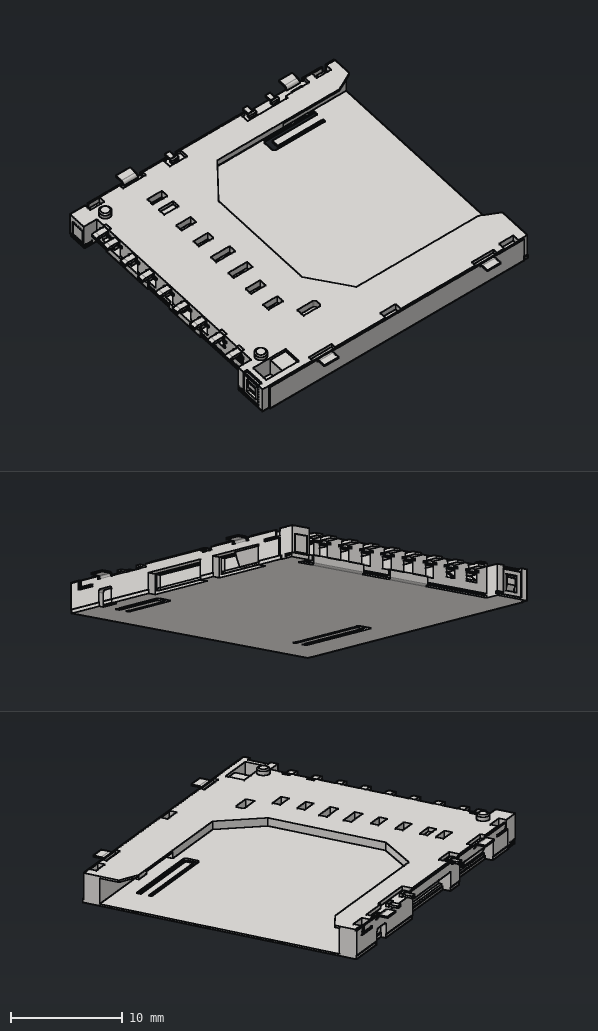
import cadquery as cq
import math


body_half_width = 13.85
shell_skin = 0.15
shell_half_width = body_half_width + shell_skin
length = 30.5
front_wall_y = 1.5
lid_top = 2.9
lid_thickness = 0.2
lid_bottom = lid_top - lid_thickness
floor_thickness = 0.2
joint_overlap = 0.1

plate_height = 0.35
plate_inset = 0.05
skin_top = lid_top - 0.1
left_skin_front_y = 1.7
right_skin_front_y = 0.75
right_skin_back_y = 30.0

left_corner_x = -11.85
right_corner_x = 10.35
corner_bottom = 0.4
foot_front_y = 0.1
groove_depth = 0.2

cavity_half_width = 12.2
cavity_front_y = 4.9
contact_roof_z = 2.1
contact_roof_back_y = 22.1
entry_rib_y = (27.1, 28.55)
entry_rib_bottom = 2.45

opening_center_x = -0.75
opening_half_width = 10.0
opening_mouth_half_width = 11.0
opening_tip_half_width = 6.0
opening_mouth_y = 28.55
opening_shoulder_y = 14.5
opening_tip_y = 11.45

spring_root_y = 26.66
right_spring_tip_y = 17.5
left_spring_tip_y = 20.75
spring_inner_gap = 0.3
spring_outer_gap = 0.45
spring_tip_gap = 0.7
spring_width = 0.8
spring_corner_radius = 0.3

contact_pitch = 2.5
first_contact_x = -8.9
outer_contact_x = -10.53
contact_xs = [outer_contact_x] + [first_contact_x + i * contact_pitch for i in range(8)]
contact_tip_y = 0.12
contact_width = 0.68
contact_bottom = 2.4
contact_top = 2.72
collar_width = 1.44
collar_front_y = 1.35
collar_bottom = 2.15
collar_top = 2.3
neck_width = 0.6

front_opening_widths = (0.9, 0.9, 0.9, 1.0, 1.0, 1.1, 0.9, 0.95, 1.2)
front_opening_top = 2.0
deep_opening_bottom = 0.9
shallow_opening_bottom = 1.25
shallow_opening_indices = (7, 8)
blind_opening_index = 8
blind_opening_y = 2.5

latch_z = 2.2
ledge_z = 2.5
latch_inner_x = 13.1
contact_inner_x = 12.83
tab_inner_x = 13.35
side_contact_ys = (23.26, 20.65, 11.7)

tab_tip_x = 15.0
tab_bend_radius = 0.37
back_tab_y = (24.97, 26.5)
front_tab_y = (6.2, 7.85)

back_window_y = (12.6, 19.8)
front_window_y = (4.55, 10.87)
window_top = 1.9
window_ledge_z = 0.55
window_outer_depth_x = -13.2
window_inner_depth_x = -12.8

peg_radius = 0.6
peg_chamfer = 0.15
peg_top = 3.45
peg_y = 2.5
peg_xs = (-11.89, 10.5)

button_x = (11.1, 13.2)
button_front_y = 0.1
button_back_y = 0.45
button_top = 2.65
button_recess_x = (11.5, 12.75)
button_recess_z = (0.6, 2.15)
lug_x = (11.65, 12.6)


def box(x0, x1, y0, y1, z0, z1):
    """Axis-aligned block between the given limits."""
    return cq.Workplane("XY").box(x1 - x0, y1 - y0, z1 - z0, centered=False).translate((x0, y0, z0))


def centered_box(x, width, y0, y1, z0, z1):
    """Block of the given width centred on x."""
    return box(x - width / 2, x + width / 2, y0, y1, z0, z1)


def side_prism(profile, y0, y1):
    """Closed (x, z) profile extended from y0 to y1."""
    return cq.Workplane("XZ").polyline(profile).close().extrude(y0 - y1).translate((0, y0, 0))


def front_prism(profile, x0, x1):
    """Closed (y, z) profile extended from x0 to x1."""
    return cq.Workplane("YZ").polyline(profile).close().extrude(x1 - x0).translate((x0, 0, 0))


def join(shapes):
    """Union of a list of shapes."""
    joined = shapes[0]
    for shape in shapes[1:]:
        joined = joined.union(shape)
    return joined




def make_body():
    """Hollow housing with a thin floor, open at the card end, with a thicker roof over the contacts."""
    plate_half_width = shell_half_width - plate_inset
    body = box(-body_half_width, body_half_width, front_wall_y, length, floor_thickness, lid_top)
    body = body.union(box(-plate_half_width, plate_half_width, front_wall_y, length, 0, plate_height))
    cavity_x = (-cavity_half_width, cavity_half_width)
    contact_room = box(*cavity_x, cavity_front_y, length, floor_thickness, contact_roof_z)
    entry_room = box(*cavity_x, contact_roof_back_y, length, floor_thickness, lid_bottom)
    entry_rib = box(opening_center_x + opening_half_width, cavity_half_width, *entry_rib_y,
                    entry_rib_bottom, lid_bottom)
    return body.cut(contact_room).cut(entry_room).union(entry_rib)


def make_front_corners():
    """Corner blocks standing forward of the contact wall; the left one has a shallow panel and a foot."""
    panel_x = (-13.5, -12.1)
    panel_z = (0.5, 2.15)
    panel_depth = 0.1
    foot_gap_y = (0.3, 1.0)
    left = box(-body_half_width, left_corner_x, 0, front_wall_y, corner_bottom, lid_top)
    panel = box(*panel_x, 0, panel_depth, *panel_z)
    foot = box(-body_half_width, left_corner_x, foot_front_y, front_wall_y, 0, corner_bottom)
    foot_gap = box(-body_half_width, left_corner_x, *foot_gap_y, floor_thickness, corner_bottom)
    right = box(right_corner_x, body_half_width, 0, front_wall_y, 0, lid_top)
    groove = box(right_corner_x, button_x[0], 0, groove_depth, floor_thickness, corner_bottom)
    return join([left.cut(panel), foot.cut(foot_gap), right.cut(groove)])


def front_groove():
    """Cutter for the groove between the floor plate and the front wall."""
    return box(left_corner_x, right_corner_x, front_wall_y, front_wall_y + groove_depth,
               floor_thickness, corner_bottom)


def make_front_flaps():
    """Floor plate flaps folded up against the front wall."""
    flap_top = 0.9
    flap_front_y = 1.3
    flap_back_y = 1.8
    bend_radius = 0.19
    flap_xs = ((-10.25, -4.3), (-1.2, 3.25))
    flaps = []
    for x0, x1 in flap_xs:
        flap = box(x0, x1, flap_front_y, front_wall_y, 0, flap_top)
        flap = flap.edges("<Y and <Z").fillet(bend_radius)
        backing = box(x0, x1, front_wall_y, flap_back_y, 0, corner_bottom)
        flaps.append(flap.union(backing))
    return join(flaps)


def lid_opening():
    """Cutter for the card-shaped opening in the lid."""
    outline = [
        (opening_mouth_half_width, length),
        (opening_half_width, opening_mouth_y),
        (opening_half_width, opening_shoulder_y),
        (opening_tip_half_width, opening_tip_y),
    ]
    right = [(opening_center_x + x, y) for x, y in outline]
    left = [(opening_center_x - x, y) for x, y in reversed(outline)]
    opening = cq.Workplane("XY").workplane(offset=contact_roof_z).polyline(right + left).close()
    return opening.extrude(lid_top - contact_roof_z)


def floor_spring_slot(side, tip_y):
    """U-shaped slot through the floor that frees a spring finger; side is +1 or -1."""
    inner = opening_half_width - spring_inner_gap
    finger_inner = inner + spring_inner_gap
    finger_outer = finger_inner + spring_width
    outer = finger_outer + spring_outer_gap
    slot = box(inner, outer, tip_y, spring_root_y, 0, floor_thickness)
    slot = slot.edges("|Z and <Y").fillet(spring_corner_radius)
    finger = box(finger_inner, finger_outer, tip_y + spring_tip_gap, spring_root_y, 0, floor_thickness)
    slot = slot.cut(finger)
    if side < 0:
        slot = slot.mirror("YZ")
    return slot.translate((opening_center_x, 0, 0))




def contact_windows():
    """Slots in the lid above the contacts; the last one sits further back with rounded corners."""
    window_width = 0.8
    window_y0 = 6.58
    window_y1 = 8.25
    long_window_y1 = 8.75
    long_indices = (4, 5)
    shallow_index = 1
    last_width = 0.9
    last_y = (8.57, 10.6)
    last_radius = 0.25
    windows = []
    for i, x in enumerate(contact_xs[:-1]):
        y1 = long_window_y1 if i in long_indices else window_y1
        bottom = ledge_z if i == shallow_index else contact_roof_z
        windows.append(centered_box(x, window_width, window_y0, y1, bottom, lid_top))
    last = centered_box(contact_xs[-1], last_width, *last_y, contact_roof_z, lid_top)
    windows.append(last.edges("|Z and >Y").fillet(last_radius))
    return join(windows)


def front_openings():
    """Openings in the front wall below the contacts; the last one is blind."""
    openings = []
    for i, (x, width) in enumerate(zip(contact_xs, front_opening_widths)):
        bottom = shallow_opening_bottom if i in shallow_opening_indices else deep_opening_bottom
        back_y = blind_opening_y if i == blind_opening_index else cavity_front_y
        openings.append(centered_box(x, width, front_wall_y, back_y, bottom, front_opening_top))
    return join(openings)


def make_opening_ramps():
    """Sloped floors in the two shallow openings; the first fills only the +X part of its opening."""
    ramp_front_y = 1.6
    ramp_crest_y = 2.3
    ramp_front_z = 1.45
    ramp_crest_z = 1.95
    ramp_base_z = shallow_opening_bottom - joint_overlap
    profile = [
        (ramp_front_y, ramp_base_z),
        (ramp_front_y, ramp_front_z),
        (ramp_crest_y, ramp_crest_z),
        (blind_opening_y, ramp_crest_z),
        (blind_opening_y, ramp_base_z),
    ]
    partial_start = 0.12
    ramps = []
    for i in shallow_opening_indices:
        x = contact_xs[i]
        half = front_opening_widths[i] / 2
        start = -half if i == blind_opening_index else partial_start
        ramps.append(front_prism(profile, x + start, x + half))
    return join(ramps)


def contact_notches():
    """Notches in the front wall above the outermost contacts."""
    notch_clearance = 0.04
    notch_width = contact_width + notch_clearance
    notch_back_y = 1.8
    notch_top = 2.85
    notched = (0, 7, 8)
    notches = [
        centered_box(contact_xs[i], notch_width, front_wall_y, notch_back_y, collar_top, notch_top)
        for i in notched
    ]
    return join(notches)


def make_contacts():
    """Solder tails with beveled tips, necks and collars along the front wall."""
    root_y = 1.9
    tip_bevel = (0.1, 0.4)
    contacts = []
    for x in contact_xs:
        tail = centered_box(x, contact_width, contact_tip_y, root_y, contact_bottom, contact_top)
        contacts.append(tail.edges(">Z and <Y").chamfer(*tip_bevel))
        contacts.append(centered_box(x, neck_width, collar_front_y, root_y, collar_top, contact_bottom))
        contacts.append(centered_box(x, collar_width, collar_front_y, root_y, collar_bottom, collar_top))
    return join(contacts)




def edge_pockets():
    """Shallow pockets along the long edges of the lid: (side, inner x, y limits, floor height)."""
    pockets = [
        (-1, latch_inner_x, (27.83, 29.47), latch_z),
        (-1, latch_inner_x, (1.76, 3.38), latch_z),
        (1, latch_inner_x, (27.83, 29.47), latch_z),
        (1, latch_inner_x, (14.16, 15.93), latch_z),
        (-1, latch_inner_x, (24.25, 26.98), ledge_z),
        (-1, contact_inner_x, (19.65, 24.25), ledge_z),
        (-1, contact_inner_x, (10.7, 12.7), ledge_z),
        (-1, tab_inner_x, (5.74, 8.35), ledge_z),
        (1, tab_inner_x, (24.5, 26.98), ledge_z),
        (1, tab_inner_x, (5.74, 8.35), ledge_z),
    ]
    cutters = []
    for side, inner_x, y_limits, floor_z in pockets:
        x0, x1 = sorted((side * inner_x, side * body_half_width))
        cutters.append(box(x0, x1, *y_limits, floor_z, lid_top))
    tab_slot_x = (-13.5, -13.25)
    tab_slot_y = (25.2, 26.4)
    tab_slot = box(*tab_slot_x, *tab_slot_y, latch_z, ledge_z)
    return join(cutters + [tab_slot])


def left_skin_block(y0, y1, z0, z1):
    """Block filling the thickness of the left skin."""
    return box(-shell_half_width, -body_half_width, y0, y1, z0, z1)


def make_shell_sides():
    """Metal skins on the long sides; the left one has top notches and two L-shaped latch slots."""
    left = left_skin_block(left_skin_front_y, length, plate_height, skin_top)
    right = box(body_half_width, shell_half_width, right_skin_front_y, right_skin_back_y, 0, skin_top)
    slot_bottom = 2.0
    notch_ys = ((24.7, 26.8), (20.15, 24.9), (11.1, 12.25), (5.95, 8.15))
    slot_upright_ys = ((29.1, 29.5), (left_skin_front_y, 2.15))
    slot_foot_ys = ((27.6, 29.5), (left_skin_front_y, 3.7))
    for y0, y1 in notch_ys:
        left = left.cut(left_skin_block(y0, y1, ledge_z, lid_top))
    for y0, y1 in slot_upright_ys:
        left = left.cut(left_skin_block(y0, y1, slot_bottom, lid_top))
    for y0, y1 in slot_foot_ys:
        left = left.cut(left_skin_block(y0, y1, slot_bottom, latch_z))
    return left.union(right)


def side_window(y0, y1):
    """Cutter for a window low in the left wall, stepped inward to leave two sills."""
    jamb = 0.25
    head = 0.1
    lower_sill_z = 0.3
    sill_width = 0.1
    sill_x = window_outer_depth_x + sill_width
    outer = box(-shell_half_width, window_outer_depth_x, y0, y1, 0, window_top)
    sill = box(window_outer_depth_x, sill_x, y0, y1 - jamb, lower_sill_z, window_ledge_z)
    inner = box(window_outer_depth_x, window_inner_depth_x, y0, y1 - jamb,
                window_ledge_z, window_top - head)
    return join([outer, sill, inner])


def make_slider_ramp():
    """Overhanging slanted face inside the front part of the front window."""
    ramp_back_y = 8.4
    back_x = window_inner_depth_x + joint_overlap
    foot_x = window_inner_depth_x - 0.1
    head_x = -13.5
    profile = [
        (back_x, window_ledge_z),
        (foot_x, window_ledge_z),
        (head_x, window_top),
        (back_x, window_top),
    ]
    return side_prism(profile, front_window_y[0], ramp_back_y)


def clip_recess():
    """Cutter for the clip recess at the bottom of the left wall, with a sill left inside."""
    recess_depth_x = -13.45
    recess_y = (24.9, 26.65)
    recess_top = 1.55
    corner_radius = 0.25
    sill_front_x = -13.6
    sill_y = (25.05, 26.5)
    sill_z = (0.15, 0.5)
    recess = box(-shell_half_width, recess_depth_x, *recess_y, 0, recess_top)
    recess = recess.edges("|X and >Z").fillet(corner_radius)
    sill = box(sill_front_x, recess_depth_x, *sill_y, *sill_z)
    return recess.cut(sill)


def make_solder_tab(side, y0, y1):
    """Solder tab bent outward from the side skin; side is +1 or -1."""
    inner_radius = tab_bend_radius - shell_skin
    bend_x = body_half_width + tab_bend_radius
    bend_z = lid_top - tab_bend_radius
    tab_bottom = lid_top - shell_skin
    diagonal = math.sqrt(0.5)
    outer_middle = (bend_x - tab_bend_radius * diagonal, bend_z + tab_bend_radius * diagonal)
    inner_middle = (bend_x - inner_radius * diagonal, bend_z + inner_radius * diagonal)
    tab = (
        cq.Workplane("XZ")
        .moveTo(body_half_width, bend_z - joint_overlap)
        .lineTo(body_half_width, bend_z)
        .threePointArc(outer_middle, (bend_x, lid_top))
        .lineTo(tab_tip_x, lid_top)
        .lineTo(tab_tip_x, tab_bottom)
        .lineTo(bend_x, tab_bottom)
        .threePointArc(inner_middle, (shell_half_width, bend_z))
        .lineTo(shell_half_width, bend_z - joint_overlap)
        .close()
        .extrude(y0 - y1)
        .translate((0, y0, 0))
    )
    return tab if side > 0 else tab.mirror("YZ")


def make_solder_tabs():
    """Four solder tabs, two on each long side."""
    return join([make_solder_tab(side, *y) for side in (-1, 1) for y in (back_tab_y, front_tab_y)])


def make_side_contacts():
    """Three switch contacts reaching out over the left edge."""
    tip_x = -14.47
    shoulder_x = -13.6
    root_x = -13.3
    tail_width = 0.56
    shoulder_width = 0.84
    tail_top = ledge_z + 0.2
    shoulder_top = ledge_z + 0.3
    contacts = []
    for y in side_contact_ys:
        contacts.append(box(tip_x, root_x, y - tail_width / 2, y + tail_width / 2, ledge_z, tail_top))
        contacts.append(
            box(shoulder_x, root_x, y - shoulder_width / 2, y + shoulder_width / 2, ledge_z, shoulder_top)
        )
    return join(contacts)




def make_pegs():
    """Locating pegs standing on the lid, chamfered at the tip."""
    pegs = (
        cq.Workplane("XY")
        .workplane(offset=lid_top - joint_overlap)
        .pushPoints([(x, peg_y) for x in peg_xs])
        .circle(peg_radius)
        .extrude(peg_top - lid_top + joint_overlap)
    )
    return pegs.faces(">Z").chamfer(peg_chamfer)


def eject_pocket():
    """Cutter for the stepped pocket in the lid behind the eject button."""
    pocket_x = (11.25, 13.15)
    front_y = 1.0
    step_y = 3.0
    back_y = 4.75
    deep_z = 0.8
    shallow_z = 2.6
    deep = box(*pocket_x, front_y, step_y, deep_z, lid_top)
    return deep.union(box(*pocket_x, step_y, back_y, shallow_z, lid_top))


def button_slot():
    """Cutter for the vertical slot holding the eject button."""
    return box(*button_x, 0, button_back_y, floor_thickness, lid_top)


def make_button():
    """Eject button plate with a recess and a lug that is undercut below."""
    top_bevel = 0.1
    recess_back_y = 0.4
    plate = box(*button_x, button_front_y, button_back_y, floor_thickness, button_top)
    plate = plate.edges(">Z and <Y").chamfer(top_bevel)
    plate = plate.cut(box(*button_recess_x, button_front_y, recess_back_y, *button_recess_z))
    lug_top = 1.9
    lug_front_y = 0.15
    undercut_top = 1.25
    undercut_bottom = 0.7
    lug = front_prism(
        [
            (button_back_y, lug_top),
            (lug_front_y, lug_top),
            (lug_front_y, undercut_top),
            (recess_back_y, undercut_bottom),
            (button_back_y, undercut_bottom),
        ],
        *lug_x,
    )
    return plate.union(lug)



result = make_body().cut(lid_opening()).cut(contact_windows())
result = result.cut(front_openings()).cut(front_groove()).union(make_opening_ramps())
result = result.cut(floor_spring_slot(1, right_spring_tip_y)).cut(floor_spring_slot(-1, left_spring_tip_y))
result = result.union(make_front_corners()).union(make_front_flaps())
result = result.cut(contact_notches()).union(make_contacts())
result = result.cut(edge_pockets()).union(make_shell_sides())
result = result.cut(side_window(*back_window_y)).cut(side_window(*front_window_y))
result = result.union(make_slider_ramp()).cut(clip_recess())
result = result.union(make_solder_tabs()).union(make_side_contacts()).union(make_pegs())
result = result.cut(eject_pocket()).cut(button_slot()).union(make_button())